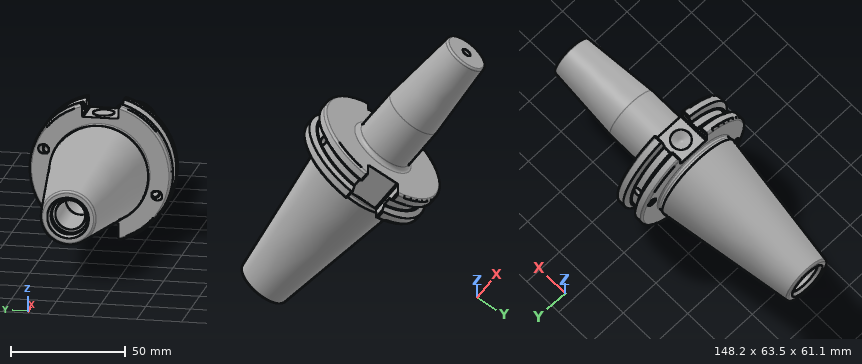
import cadquery as cq
import math


GAUGE_DIAMETER = 44.45
TAPER_LENGTH = 68.25
TAPER_RATE = 7 / 24
TAPER_END_FILLET = 1.0
RELIEF_START = 1.5
RELIEF_DIAMETER = 43.6
RELIEF_FILLET = 0.5

FLANGE_DIAMETER = 63.5
FLANGE_START = 3.18
FLANGE_END = 19.05
FLANGE_RIM_FILLET = 1.0
GROOVE_CENTER = 11.11
GROOVE_MOUTH_WIDTH = 7.2
GROOVE_FLOOR_WIDTH = 4.0
GROOVE_FLOOR_DIAMETER = 56.4
GROOVE_FLANK_ANGLE = 30

SHANK_DIAMETER = 27
SHANK_ROOT_FILLET = 2.0
NOSE_END = 80
NOSE_DIAMETER = 21
NOSE_HALF_ANGLE = 4.5
NOSE_FILLET = 1.0

SLOT_WIDTH = 16.3
UPPER_SLOT_HEIGHT = 25.0
LOWER_SLOT_HEIGHT = 22.8
SLOT_CHAMFER = 0.5

DIMPLE_DIAMETER = 9.53
DIMPLE_POINT_ANGLE = 118

BORE_MOUTH_DIAMETER = 18.6
BORE_MOUTH_ANGLE = 60
PILOT_DIAMETER = 16.3
PILOT_DEPTH = 5.0
BORE_DIAMETER = 13.39
BORE_DEPTH = 28.0
BORE_POINT_ANGLE = 118
THROUGH_DIAMETER = 4.2

COOLANT_CIRCLE_RADIUS = 27.0
COOLANT_ANGLES = (20, 200)
COOLANT_PORT_DIAMETER = 4.13
COOLANT_PORT_TILT = 30
COOLANT_PORT_DEPTH = 2.1
COOLANT_DUCT_DIAMETER = 3.24
COOLANT_OUTLET_DIAMETER = 4.0


def half_angle_slope(point_angle):
    """Radius gained per unit length of a cone with the given full point angle."""
    return math.tan(math.radians(point_angle / 2))


def make_body():
    """Revolve the outer outline about the X axis."""
    gauge_radius = GAUGE_DIAMETER / 2
    taper_end_radius = gauge_radius - TAPER_LENGTH * TAPER_RATE / 2
    relief_radius = RELIEF_DIAMETER / 2
    flange_radius = FLANGE_DIAMETER / 2
    shank_radius = SHANK_DIAMETER / 2
    nose_radius = NOSE_DIAMETER / 2
    nose_length = (shank_radius - nose_radius) / math.tan(math.radians(NOSE_HALF_ANGLE))

    body = (
        cq.Workplane("XY")
        .moveTo(-TAPER_LENGTH, 0)
        .lineTo(-TAPER_LENGTH, taper_end_radius)
        .lineTo(0, gauge_radius)
        .lineTo(RELIEF_START, relief_radius)
        .lineTo(FLANGE_START, relief_radius)
        .lineTo(FLANGE_START, flange_radius)
        .lineTo(FLANGE_END, flange_radius)
        .lineTo(FLANGE_END, shank_radius)
        .lineTo(NOSE_END - nose_length, shank_radius)
        .lineTo(NOSE_END, nose_radius)
        .lineTo(NOSE_END, 0)
        .close()
        .revolve(360, (0, 0, 0), (1, 0, 0))
    )
    rounded_edges = (
        (-TAPER_LENGTH, taper_end_radius, TAPER_END_FILLET),
        (FLANGE_START, relief_radius, RELIEF_FILLET),
        (FLANGE_START, flange_radius, FLANGE_RIM_FILLET),
        (FLANGE_END, flange_radius, FLANGE_RIM_FILLET),
        (FLANGE_END, shank_radius, SHANK_ROOT_FILLET),
        (NOSE_END, nose_radius, NOSE_FILLET),
    )
    for x, radius, fillet in rounded_edges:
        body = body.edges(circle_at(x, radius)).fillet(fillet)
    return body


def circle_at(x, radius):
    """Select the circular edge of the given radius centred on the axis at x."""
    margin = 0.01
    reach = radius + margin
    return cq.selectors.BoxSelector(
        (x - margin, -reach, -reach), (x + margin, reach, reach), boundingbox=True
    ) - cq.selectors.BoxSelector(
        (x - margin, -radius + margin, -radius + margin),
        (x + margin, radius - margin, radius - margin),
        boundingbox=True,
    )


def make_groove():
    """Ring with sloping flanks, short straight walls and a flat floor."""
    mouth_half = GROOVE_MOUTH_WIDTH / 2
    floor_half = GROOVE_FLOOR_WIDTH / 2
    flange_radius = FLANGE_DIAMETER / 2
    floor_radius = GROOVE_FLOOR_DIAMETER / 2
    flank_height = (mouth_half - floor_half) / math.tan(math.radians(GROOVE_FLANK_ANGLE))
    wall_radius = flange_radius - flank_height
    return (
        cq.Workplane("XY")
        .moveTo(GROOVE_CENTER - mouth_half, flange_radius)
        .lineTo(GROOVE_CENTER - floor_half, wall_radius)
        .lineTo(GROOVE_CENTER - floor_half, floor_radius)
        .lineTo(GROOVE_CENTER + floor_half, floor_radius)
        .lineTo(GROOVE_CENTER + floor_half, wall_radius)
        .lineTo(GROOVE_CENTER + mouth_half, flange_radius)
        .close()
        .revolve(360, (0, 0, 0), (1, 0, 0))
    )


def make_slot(floor_height, direction):
    """Drive slot across the flange rim; direction is +1 for the top and -1 for the bottom."""
    rim_radius = FLANGE_DIAMETER / 2
    half_width = SLOT_WIDTH / 2
    floor_half = half_width - SLOT_CHAMFER
    mouth_half = half_width + SLOT_CHAMFER
    mouth_height = math.sqrt(rim_radius**2 - mouth_half**2)
    right_side = (
        (floor_half, floor_height),
        (half_width, floor_height + SLOT_CHAMFER),
        (half_width, mouth_height - SLOT_CHAMFER),
        (mouth_half, mouth_height),
        (mouth_half, rim_radius),
    )
    left_side = [(-y, z) for y, z in reversed(right_side)]
    outline = [(y, direction * z) for y, z in (*right_side, *left_side)]
    return (
        cq.Workplane("YZ", origin=(FLANGE_START, 0, 0))
        .polyline(outline)
        .close()
        .extrude(FLANGE_END - FLANGE_START)
    )


def make_dimple():
    """Cone sunk into the middle of the upper slot floor."""
    radius = DIMPLE_DIAMETER / 2
    depth = radius / half_angle_slope(DIMPLE_POINT_ANGLE)
    center = cq.Vector((FLANGE_START + FLANGE_END) / 2, 0, UPPER_SLOT_HEIGHT)
    return cq.Workplane(cq.Solid.makeCone(radius, 0, depth, center, cq.Vector(0, 0, -1)))


def make_bore():
    """Chamfered pilot, pull stud bore with drill point and hole through the nose."""
    mouth_radius = BORE_MOUTH_DIAMETER / 2
    pilot_radius = PILOT_DIAMETER / 2
    bore_radius = BORE_DIAMETER / 2
    through_radius = THROUGH_DIAMETER / 2
    mouth_depth = (mouth_radius - pilot_radius) / half_angle_slope(BORE_MOUTH_ANGLE)
    point_depth = (bore_radius - through_radius) / half_angle_slope(BORE_POINT_ANGLE)
    entry = -TAPER_LENGTH
    return (
        cq.Workplane("XY")
        .moveTo(entry, 0)
        .lineTo(entry, mouth_radius)
        .lineTo(entry + mouth_depth, pilot_radius)
        .lineTo(entry + PILOT_DEPTH, pilot_radius)
        .lineTo(entry + PILOT_DEPTH, bore_radius)
        .lineTo(entry + BORE_DEPTH, bore_radius)
        .lineTo(entry + BORE_DEPTH + point_depth, through_radius)
        .lineTo(NOSE_END, through_radius)
        .lineTo(NOSE_END, 0)
        .close()
        .revolve(360, (0, 0, 0), (1, 0, 0))
    )


def make_coolant_passage(angle):
    """Stepped port sloping inward from the rear flange face to a radial outlet in the groove."""
    outward = cq.Vector(0, math.cos(math.radians(angle)), math.sin(math.radians(angle)))
    along_axis = cq.Vector(1, 0, 0)
    tilt = math.radians(COOLANT_PORT_TILT)
    port_direction = along_axis * math.cos(tilt) - outward * math.sin(tilt)
    axial_run = GROOVE_CENTER - FLANGE_START
    port_center = along_axis * FLANGE_START + outward * COOLANT_CIRCLE_RADIUS
    meeting_radius = COOLANT_CIRCLE_RADIUS - axial_run * math.tan(tilt)

    overrun = COOLANT_PORT_DIAMETER
    port = cq.Solid.makeCylinder(
        COOLANT_PORT_DIAMETER / 2,
        overrun + COOLANT_PORT_DEPTH,
        port_center - port_direction * overrun,
        port_direction,
    )
    duct_length = axial_run / math.cos(tilt)
    duct = cq.Solid.makeCylinder(
        COOLANT_DUCT_DIAMETER / 2, duct_length, port_center, port_direction
    )

    rim_radius = FLANGE_DIAMETER / 2
    outlet_radius = COOLANT_OUTLET_DIAMETER / 2
    outlet_bottom = meeting_radius - outlet_radius
    outlet = cq.Solid.makeCylinder(
        outlet_radius,
        rim_radius - outlet_bottom,
        along_axis * GROOVE_CENTER + outward * outlet_bottom,
        outward,
    )
    return cq.Workplane(port.fuse(duct, outlet))


result = make_body().cut(make_groove())
result = result.cut(make_slot(UPPER_SLOT_HEIGHT, 1)).cut(make_slot(LOWER_SLOT_HEIGHT, -1))
result = result.cut(make_dimple()).cut(make_bore())
for coolant_angle in COOLANT_ANGLES:
    result = result.cut(make_coolant_passage(coolant_angle))